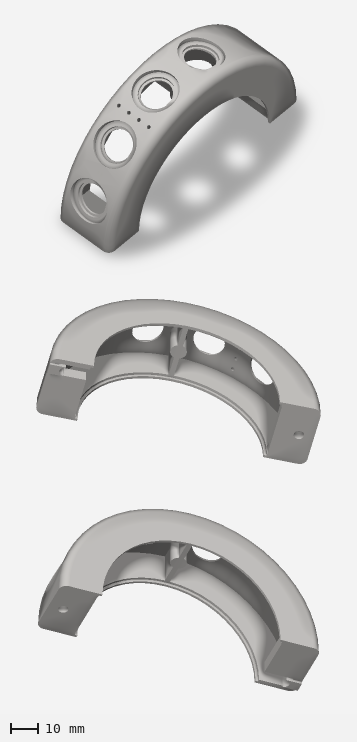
import cadquery as cq
WIDTH = 26.0
OUTER_RADIUS = 51.0
INNER_RADIUS = 35.0
EDGE_FILLET = 3.0

WALL = 2.0
LIP_WALL = 1.0
LIP_DEPTH = 1.0
CAVITY_RADIUS = 47.5
WALL_MIDDLE_RADIUS = (CAVITY_RADIUS + OUTER_RADIUS) / 2
RABBET_RADIUS = INNER_RADIUS + LIP_DEPTH
CAVITY_WIDTH = WIDTH - 2 * WALL
RABBET_WIDTH = WIDTH - 2 * LIP_WALL

PIN_DIAMETER = 3.8

BLOCK_HEIGHT = 4.7
BLOCK_FRONT_Y = 36.2
BLOCK_GAP = 5.0
PIN_HOLE_Y = -45.3

TAB_WIDTH = 4.2
TAB_LENGTH = 6.0
TAB_DROP = 1.0
TAB_X = -8.5

PARTITION_THICKNESS = 2.0
POST_DIAMETER = 6.1

BUTTON_COUNT = 4
BUTTON_PITCH = 28.0
FIRST_BUTTON_ANGLE = BUTTON_PITCH / 2
BUTTON_ANGLES = [FIRST_BUTTON_ANGLE - BUTTON_PITCH * i for i in range(BUTTON_COUNT)]
RECESS_DIAMETER = 17.8
RECESS_FLOOR_RADIUS = 49.0
SEAT_DIAMETER = 13.8
SEAT_FLOOR_RADIUS = 48.0
SEAT_FLAT_X = 6.3
BUTTON_HOLE_DIAMETER = 12.0

LIGHT_DIAMETER = 1.5
LIGHT_PITCH = 5.0
LIGHT_COUNT = 4
LIGHT_ANGLE = -BUTTON_PITCH

CUT_MARGIN = 2.0


def box(x_min, x_max, y_min, y_max, z_min, z_max):
    """Axis-aligned box between two opposite corners."""
    size = (x_max - x_min, y_max - y_min, z_max - z_min)
    return cq.Workplane("XY").box(*size, centered=False).translate((x_min, y_min, z_min))


def disc(radius, width):
    """Full disc about the X axis, centred on X = 0."""
    return cq.Workplane("YZ").workplane(offset=-width / 2).circle(radius).extrude(width)


def upper_half(shape):
    """Part of a shape above Z = 0."""
    reach = 2 * OUTER_RADIUS
    return shape.intersect(box(-reach, reach, -reach, reach, 0, reach))


def radial(shape, angle):
    """Swing a shape built along +Z about the ring axis; positive angles go toward +Y."""
    return shape.rotate((0, 0, 0), (1, 0, 0), -angle)


def post(diameter, z_min, z_max):
    """Cylinder along Z on the Z axis."""
    return cq.Workplane("XY").workplane(offset=z_min).circle(diameter / 2).extrude(z_max - z_min)


def shell():
    """Half ring with rounded outer edges, hollowed from the inside."""
    body = disc(OUTER_RADIUS, WIDTH).edges().fillet(EDGE_FILLET)
    body = body.cut(disc(INNER_RADIUS, WIDTH + CUT_MARGIN))
    body = body.cut(disc(CAVITY_RADIUS, CAVITY_WIDTH))
    body = body.cut(disc(RABBET_RADIUS, RABBET_WIDTH))
    return upper_half(body)


def in_cavity(shape):
    """Trim a shape to the space between the rabbet and the middle of the outer wall."""
    return shape.intersect(disc(WALL_MIDDLE_RADIUS, WIDTH)).cut(disc(RABBET_RADIUS, WIDTH))


def end_blocks():
    """End blocks; the +Y block leaves a gap for the tab, the -Y block has a pin hole."""
    half = (WIDTH - WALL) / 2
    gap_edge = -CAVITY_WIDTH / 2 + BLOCK_GAP
    plus_y = box(gap_edge, half, BLOCK_FRONT_Y, OUTER_RADIUS, 0, BLOCK_HEIGHT)
    minus_y = box(-half, half, -OUTER_RADIUS, -BLOCK_FRONT_Y, 0, BLOCK_HEIGHT)
    pin_hole = post(PIN_DIAMETER, -CUT_MARGIN, BLOCK_HEIGHT + CUT_MARGIN)
    minus_y = minus_y.cut(pin_hole.translate((0, PIN_HOLE_Y, 0)))
    return in_cavity(plus_y.union(minus_y))


def tab():
    """Square column on the +Y end, hanging below it, with a half-round notch facing the ring axis."""
    half = TAB_WIDTH / 2
    front = OUTER_RADIUS - TAB_LENGTH
    column = box(TAB_X - half, TAB_X + half, front, OUTER_RADIUS, -TAB_DROP, BLOCK_HEIGHT)
    notch = post(PIN_DIAMETER, -TAB_DROP - CUT_MARGIN, BLOCK_HEIGHT + CUT_MARGIN)
    column = column.cut(notch.translate((TAB_X, front, 0)))
    outside = disc(2 * OUTER_RADIUS, WIDTH).cut(disc(WALL_MIDDLE_RADIUS, WIDTH))
    return column.cut(upper_half(outside))


def crown_partition():
    """Cross wall under the crown with a round post in its middle."""
    half = (WIDTH - WALL) / 2
    half_thickness = PARTITION_THICKNESS / 2
    wall = box(-half, half, -half_thickness, half_thickness, INNER_RADIUS, OUTER_RADIUS)
    return in_cavity(wall.union(post(POST_DIAMETER, INNER_RADIUS, OUTER_RADIUS)))


def button_cutter():
    """Recess, flat-sided seat and through hole, built along +Z."""
    top = OUTER_RADIUS + CUT_MARGIN
    recess = post(RECESS_DIAMETER, RECESS_FLOOR_RADIUS, top)
    seat = post(SEAT_DIAMETER, SEAT_FLOOR_RADIUS, top)
    seat = seat.intersect(box(-WIDTH, SEAT_FLAT_X, -WIDTH, WIDTH, 0, top))
    hole = post(BUTTON_HOLE_DIAMETER, CAVITY_RADIUS - CUT_MARGIN, top)
    return recess.union(seat).union(hole)


def light_cutter():
    """Row of small through holes along X, built along +Z."""
    row = cq.Workplane("XY").workplane(offset=CAVITY_RADIUS - CUT_MARGIN)
    row = row.rarray(LIGHT_PITCH, 1, LIGHT_COUNT, 1).circle(LIGHT_DIAMETER / 2)
    return row.extrude(OUTER_RADIUS - CAVITY_RADIUS + 2 * CUT_MARGIN)


body = shell().union(end_blocks()).union(tab()).union(crown_partition())
for button_angle in BUTTON_ANGLES:
    body = body.cut(radial(button_cutter(), button_angle))
body = body.cut(radial(light_cutter(), LIGHT_ANGLE))

result = cq.Workplane("XY").newObject([body.solids().val()])